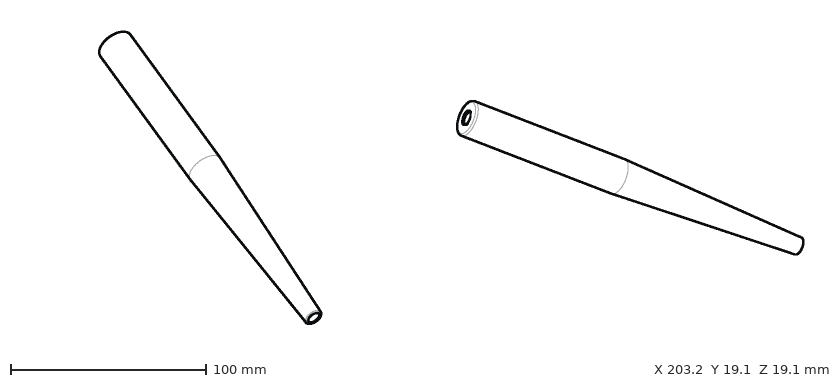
import math

import cadquery as cq

total_length = 203.2
shank_diameter = 19.05
tip_diameter = 9.4
taper_half_angle = 2.5
shank_edge_round = 1.0
tip_edge_round = 0.5

bore_diameter = 6.35
socket_diameter = 7.0
socket_depth = 25.0
mouth_diameter = 8.0
mouth_half_angle = 30.0

shank_radius = shank_diameter / 2
tip_radius = tip_diameter / 2
bore_radius = bore_diameter / 2
socket_radius = socket_diameter / 2
mouth_radius = mouth_diameter / 2

taper_length = (shank_radius - tip_radius) / math.tan(math.radians(taper_half_angle))
shank_length = total_length - taper_length
mouth_depth = (mouth_radius - socket_radius) / math.tan(math.radians(mouth_half_angle))


def revolve_about_x(half_outline):
    """Turn a list of (x, radius) points, running from axis to axis, into a solid."""
    return cq.Workplane("XY").polyline(half_outline).close().revolve(360, (0, 0, 0), (-1, 0, 0))


def make_body():
    """Straight shank running into a slender cone, with both end edges rounded."""
    body = revolve_about_x([
        (0, 0),
        (0, shank_radius),
        (shank_length, shank_radius),
        (total_length, tip_radius),
        (total_length, 0),
    ])
    body = body.faces("<X").edges().fillet(shank_edge_round)
    return body.faces(">X").edges().fillet(tip_edge_round)


def make_bore():
    """Through bore that steps out to the socket and flares at the mouth."""
    return revolve_about_x([
        (0, 0),
        (0, mouth_radius),
        (mouth_depth, socket_radius),
        (socket_depth, socket_radius),
        (socket_depth, bore_radius),
        (total_length, bore_radius),
        (total_length, 0),
    ])


result = make_body().cut(make_bore())